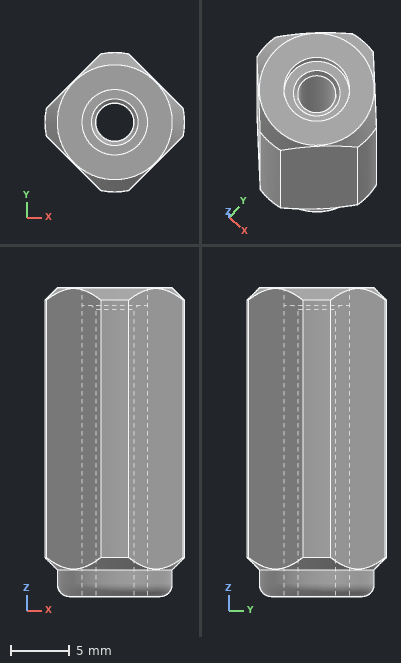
import cadquery as cq

height = 26.5
corner_diameter = 11.98
across_flats = 10.0
end_chamfer = 1.05
corner_radius = corner_diameter / 2
face_radius = corner_radius - end_chamfer

foot_height = 2.3
foot_fillet = 1.05

bore_diameter = 5.62
bush_recess = 1.5
bush_length = height - bush_recess
hole_diameter = 3.25
hole_chamfer = 0.37


def make_housing():
    """Square sleeve with turned ends, a round foot and a through bore."""
    envelope = (
        cq.Workplane("XZ")
        .moveTo(0, foot_height)
        .lineTo(face_radius, foot_height)
        .lineTo(corner_radius, foot_height + end_chamfer)
        .lineTo(corner_radius, height - end_chamfer)
        .lineTo(face_radius, height)
        .lineTo(0, height)
        .close()
        .revolve(360, (0, 0, 0), (0, 1, 0))
    )
    square_bar = (
        cq.Workplane("XY")
        .transformed(rotate=(0, 0, 45))
        .rect(across_flats, across_flats)
        .extrude(height)
    )
    foot = (
        cq.Workplane("XY")
        .circle(face_radius)
        .extrude(foot_height)
        .faces("<Z")
        .edges()
        .fillet(foot_fillet)
    )
    bore = cq.Workplane("XY").circle(bore_diameter / 2).extrude(height)
    return envelope.intersect(square_bar).union(foot).cut(bore)


def make_bush():
    """Plain bush filling the bore, with a chamfered mouth on its through hole."""
    hole = cq.Workplane("XY").circle(hole_diameter / 2).extrude(bush_length)
    bush = cq.Workplane("XY").circle(bore_diameter / 2).extrude(bush_length).cut(hole)
    mouth_edge = cq.selectors.RadiusNthSelector(0)
    return bush.faces(">Z").edges(mouth_edge).chamfer(hole_chamfer)


housing = make_housing()
bush = make_bush()

result = cq.Compound.makeCompound([housing.val(), bush.val()])